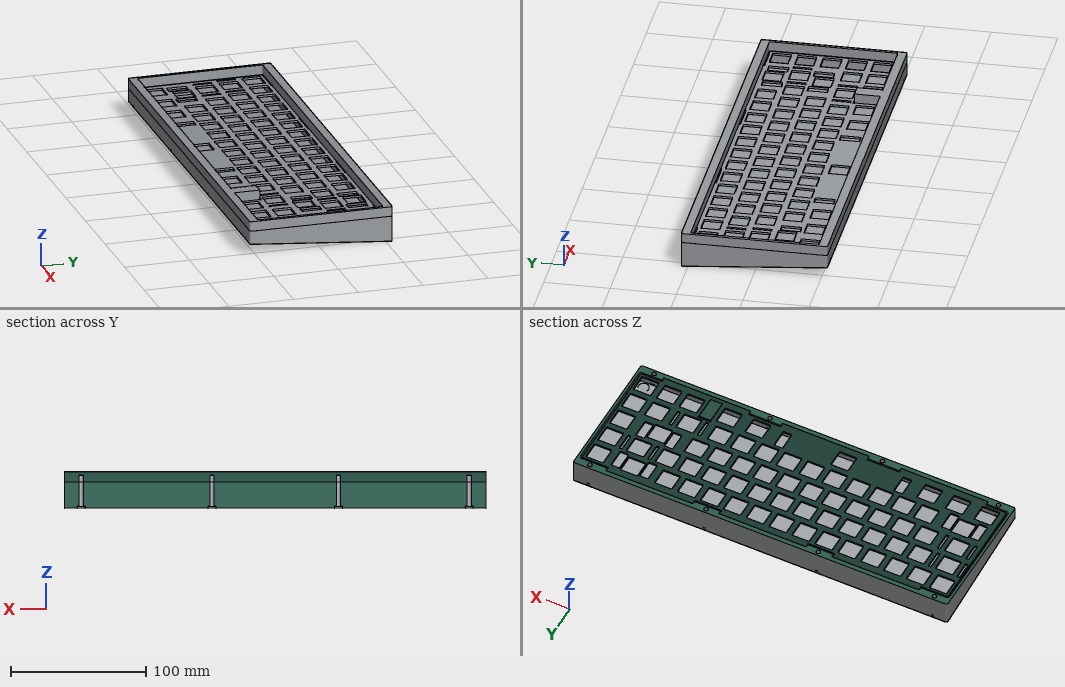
import cadquery as cq
import math

LENGTH = 311.8
DEPTH = 110.0
BACK_HEIGHT = 27.5
TILT = 5.0
CORNER_RADIUS = 1.5
TOP_CASE_HEIGHT = 7.5
SEAM_Z = BACK_HEIGHT - TOP_CASE_HEIGHT

CAVITY_LENGTH = 306.8
CAVITY_DEPTH = 96.5
CAVITY_RADIUS = 1.5
FLOOR_Z = 10.3

PLATE_LENGTH = 305.0
COLUMN_COUNT = 16
ROW_COUNT = 5
KEY_UNIT = PLATE_LENGTH / COLUMN_COUNT
PLATE_DEPTH = ROW_COUNT * KEY_UNIT
PLATE_THICKNESS = 1.5
PLATE_CORNER_RADIUS = 1.5
PLATE_TOP_Z = SEAM_Z
PLATE_BOTTOM_Z = PLATE_TOP_Z - PLATE_THICKNESS

TAB_LENGTH = 72.0
TAB_REACH = 2.5
BACK_TAB_PITCH = 94.0
FRONT_TAB_PITCH = 98.8

SWITCH_SIZE = 14.0
WINDOW_RADIUS = 0.5
STABILIZER_WIDTH = 7.0
STABILIZER_DEPTH = 15.0
STABILIZER_SHIFT = 1.5
STABILIZER_SPREAD = 12.0
SPACE_BAR_SPREAD = 50.0
FLEX_SLOT_WIDTH = 2.0
FLEX_SLOT_SPREAD = STABILIZER_SPREAD

FILLER_GAP = "filler gap"
FILLER_UNITS = 0.5
KEY_ROWS = (
    (1,) * 13 + (2, 1),
    (1.5,) + (1,) * 12 + (1.5, 1),
    (1.75,) + (1,) * 11 + (2.25, 1),
    (2.25,) + (1,) * 10 + (1.75, 1, 1),
    (1.25, 1.25, 1.25, 6.25, 1.25, 1.25, FILLER_GAP, 1, 1, 1),
)
STABILIZER_DIRECTIONS = (-1, 0, 1, -1, 1)
FLEX_SLOT_KEYS = (1.5, 1.75)
SHORTEST_STABILIZED_KEY = 2
SPACE_BAR_UNITS = 6.25

BLOCK_X = 89.5
BLOCK_WIDTH = 10.3
BLOCK_REACH = 19.3
BLOCK_END_GAP = 1.0
BLOCK_END_Y = BLOCK_REACH - CAVITY_DEPTH / 2

SCREW_COLUMNS = (-143.5, -46.8, 46.8, 143.5)
SCREW_Y = 51.5
SCREW_POINTS = [(x, y) for x in SCREW_COLUMNS for y in (-SCREW_Y, SCREW_Y)]
SCREW_HEAD_DIAMETER = 6.0
SCREW_HEAD_DEPTH = 1.5
SCREW_CLEARANCE_DIAMETER = 3.0
SCREW_THREAD_DIAMETER = 3.0
SCREW_THREAD_DEPTH = 4.7

FOOT_DIAMETER = 8.5
FOOT_DEPTH = 1.0
FOOT_X = 148.0
FOOT_FRONT_Y = -43.5
FOOT_BACK_Y = 42.0


def underside_z(y):
    return (DEPTH / 2 - y) * math.tan(math.radians(TILT))


def upright_box(length, depth, x, y, bottom_z, top_z):
    """A box centered on (x, y) that spans the given heights."""
    return cq.Workplane(origin=(x, y, bottom_z)).rect(length, depth).extrude(top_z - bottom_z)


def housing_shell():
    """The two cases as one open tray, before they are split at the seam."""
    half_depth = DEPTH / 2
    side_outline = [
        (half_depth, underside_z(half_depth)),
        (half_depth, BACK_HEIGHT),
        (-half_depth, BACK_HEIGHT),
        (-half_depth, underside_z(-half_depth)),
    ]
    wedge = cq.Workplane("YZ").polyline(side_outline).close().extrude(LENGTH / 2, both=True)
    wedge = wedge.edges("|Z").fillet(CORNER_RADIUS)
    cavity = upright_box(CAVITY_LENGTH, CAVITY_DEPTH, 0, 0, FLOOR_Z, BACK_HEIGHT)
    return wedge.cut(cavity.edges("|Z").fillet(CAVITY_RADIUS))


def plate_tabs():
    """Bars from the middle of the plate to the tab ends; also the shape of the wall pockets."""
    reach = CAVITY_DEPTH / 2 + TAB_REACH
    bars = cq.Workplane()
    for side, pitch in ((1, BACK_TAB_PITCH), (-1, FRONT_TAB_PITCH)):
        for place in (-1, 0, 1):
            bar = upright_box(
                TAB_LENGTH, reach, place * pitch, side * reach / 2, PLATE_BOTTOM_Z, PLATE_TOP_Z
            )
            bars = bars.add(bar)
    return bars.combine()


def key_places():
    """Width in key units, center and stabilizer direction of every key."""
    places = []
    for row, widths in enumerate(KEY_ROWS):
        y = PLATE_DEPTH / 2 - (row + 0.5) * KEY_UNIT
        left_edge = 0
        for width in widths:
            if width == FILLER_GAP:
                left_edge += FILLER_UNITS
                continue
            x = (left_edge + width / 2) * KEY_UNIT - PLATE_LENGTH / 2
            places.append((width, x, y, STABILIZER_DIRECTIONS[row]))
            left_edge += width
    return places


def cut_windows(plate, length, depth, points, corner_radius=0):
    windows = cq.Workplane(origin=(0, 0, PLATE_BOTTOM_Z)).pushPoints(points).rect(length, depth)
    windows = windows.extrude(PLATE_THICKNESS)
    if corner_radius:
        windows = windows.edges("|Z").fillet(corner_radius)
    return plate.cut(windows)


def make_plate():
    plate = upright_box(PLATE_LENGTH, PLATE_DEPTH, 0, 0, PLATE_BOTTOM_Z, PLATE_TOP_Z)
    plate = plate.edges("|Z").fillet(PLATE_CORNER_RADIUS).union(plate_tabs()).clean()

    switches = []
    stabilizers = []
    flex_slots = []
    for width, x, y, direction in key_places():
        switches.append((x, y))
        for side in (-1, 1):
            if width in FLEX_SLOT_KEYS:
                flex_slots.append((x + side * FLEX_SLOT_SPREAD, y))
            elif width >= SHORTEST_STABILIZED_KEY:
                spread = SPACE_BAR_SPREAD if width == SPACE_BAR_UNITS else STABILIZER_SPREAD
                stabilizers.append((x + side * spread, y + direction * STABILIZER_SHIFT))
    plate = cut_windows(plate, SWITCH_SIZE, SWITCH_SIZE, switches, WINDOW_RADIUS)
    plate = cut_windows(plate, STABILIZER_WIDTH, STABILIZER_DEPTH, stabilizers, WINDOW_RADIUS)
    plate = cut_windows(plate, FLEX_SLOT_WIDTH, SWITCH_SIZE, flex_slots)

    notch_end_y = BLOCK_END_Y + BLOCK_END_GAP
    notch_depth = notch_end_y + CAVITY_DEPTH / 2
    return cut_windows(plate, BLOCK_WIDTH, notch_depth, [(BLOCK_X, notch_end_y - notch_depth / 2)])


def make_bottom_case():
    case = housing_shell().intersect(upright_box(LENGTH, DEPTH, 0, 0, 0, SEAM_Z))
    case = case.cut(plate_tabs())

    shanks = cq.Workplane().pushPoints(SCREW_POINTS).circle(SCREW_CLEARANCE_DIAMETER / 2)
    case = case.cut(shanks.extrude(SEAM_Z))
    for x, y in SCREW_POINTS:
        head_top_z = underside_z(y) + SCREW_HEAD_DEPTH
        case = case.cut(cq.Workplane().center(x, y).circle(SCREW_HEAD_DIAMETER / 2).extrude(head_top_z))

    for y in (FOOT_FRONT_Y, FOOT_BACK_Y):
        for x in (-FOOT_X, FOOT_X):
            foot = cq.Workplane().circle(FOOT_DIAMETER / 2).extrude(FOOT_DEPTH)
            foot = foot.rotate((0, 0, 0), (1, 0, 0), -TILT)
            case = case.cut(foot.translate((x, y, underside_z(y))))
    return case


def make_top_case():
    case = housing_shell().intersect(upright_box(LENGTH, DEPTH, 0, 0, SEAM_Z, BACK_HEIGHT))

    block_y = BLOCK_END_Y - BLOCK_REACH / 2
    block = upright_box(BLOCK_WIDTH, BLOCK_REACH, BLOCK_X, block_y, PLATE_BOTTOM_Z, BACK_HEIGHT)
    case = case.union(block)

    threads = cq.Workplane(origin=(0, 0, SEAM_Z)).pushPoints(SCREW_POINTS)
    return case.cut(threads.circle(SCREW_THREAD_DIAMETER / 2).extrude(SCREW_THREAD_DEPTH))


bottom_case = make_bottom_case().solids()
top_case = make_top_case().solids()
plate = make_plate().solids()

result = cq.Compound.makeCompound([bottom_case.val(), top_case.val(), plate.val()])